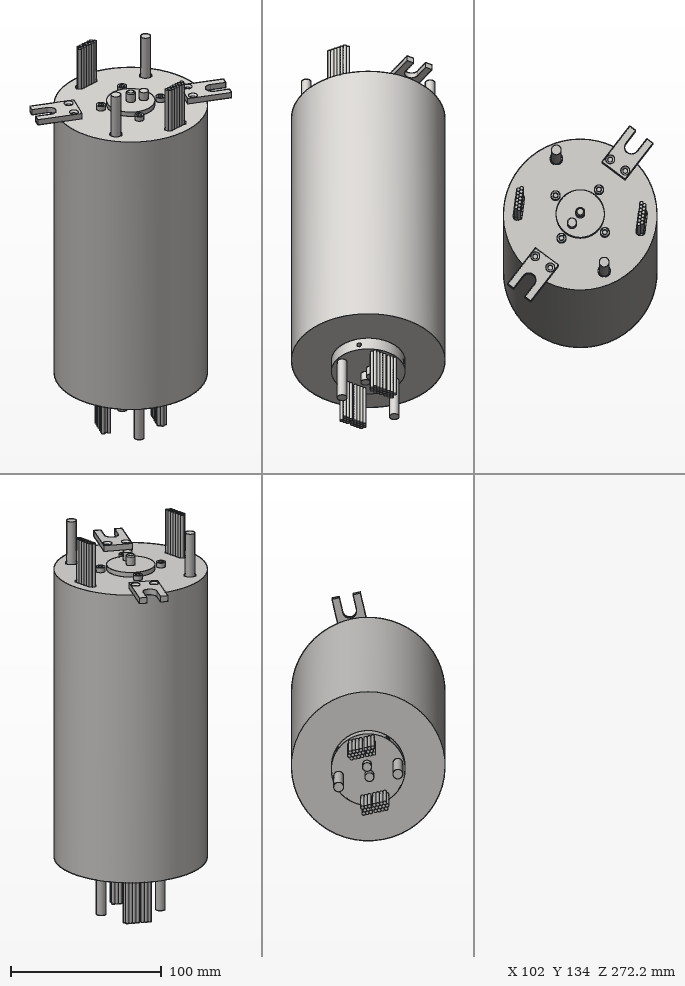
import cadquery as cq
import math

TOTAL_HEIGHT = 272.2
LEAD_LENGTH = 30.0
HUB_HEIGHT = 9.0
TOP = TOTAL_HEIGHT / 2 - LEAD_LENGTH
HUB_BOTTOM = -TOP
BODY_BOTTOM = HUB_BOTTOM + HUB_HEIGHT

BODY_RADIUS = 102.0 / 2
HUB_RADIUS = 24.5
CAP_RADIUS = 16.0
CAP_HEIGHT = 3.3

BRACKET_OUTER_END = 134.0 / 2
BRACKET_INNER_END = 36.5
BRACKET_WIDTH = 19.3
BRACKET_THICKNESS = 4.0
FORK_WIDTH = 9.3
FORK_DEPTH = 15.2
BRACKET_HOLE_X = 6.3
BRACKET_HOLE_Y = 41.0
COUNTERSINK_RADIUS = 3.0
COUNTERSINK_DEPTH = 1.4
COUNTERSINK_TAPER = 45

SCREW_CIRCLE_RADIUS = 20.55
SCREW_HEAD_RADIUS = 3.0
SCREW_HEAD_HEIGHT = 3.3
SOCKET_DIAMETER = 3.5
SOCKET_DEPTH = 1.5

PIPE_RADIUS = 3.0
CENTRE_PIPE_HEIGHT = 10.0
CENTRE_PIPE_CHAMFER = 0.8
SIDE_PIPE_HEIGHT = 9.3
SIDE_PIPE_Y = 9.0
LOWER_PIPE_LENGTH = 6.8
LOWER_PIPE_Y = 3.5

ROD_RADIUS = 3.3
ROD_HOLE_RADIUS = 4.0
UPPER_LEAD_CIRCLE_RADIUS = 41.0
UPPER_LEAD_ANGLE = 30
LOWER_ROD_X = 20.1
LOWER_BUNDLE_Y = 19.3
WIRE_DIAMETER = 2.31
WIRE_GAP = 0.05
WIRE_PITCH = WIRE_DIAMETER + WIRE_GAP
ROW_PITCH = WIRE_PITCH * math.sqrt(3) / 2
UPPER_ROWS = [6, 7]
LOWER_BUNDLES = [(-3.8, [4, 5, 4]), (5.5, [3, 2, 3])]
SLOT_LENGTH = 18.0
SLOT_WIDTH = 6.0
LEAD_HOLE_DEPTH = 2.7

SET_HOLE_RADIUS = 1.5
SET_HOLE_DEPTH = 4.0
SET_HOLE_DROP = 5.0


def cylinder(x, y, z_start, radius, length):
    """Upright cylinder that rises from z_start."""
    return cq.Workplane("XY", origin=(x, y, z_start)).circle(radius).extrude(length)


def wire_bundle(x, y, z_start, length, rows, angle):
    """Staggered rows of wires; angle turns the rows away from the X axis."""
    points = []
    for row, count in enumerate(rows):
        across = (row - (len(rows) - 1) / 2) * ROW_PITCH
        for i in range(count):
            points.append(((i - (count - 1) / 2) * WIRE_PITCH, across))
    wires = cq.Workplane("XY").pushPoints(points).circle(WIRE_DIAMETER / 2).extrude(length)
    return wires.rotate((0, 0, 0), (0, 0, 1), angle).translate((x, y, z_start))


def bracket():
    """Forked bracket on the +Y side with two flat-bottomed countersinks."""
    length = BRACKET_OUTER_END - BRACKET_INNER_END
    plate = (
        cq.Workplane("XY", origin=(0, BRACKET_INNER_END + length / 2, TOP))
        .rect(BRACKET_WIDTH, length)
        .extrude(BRACKET_THICKNESS)
    )
    fork_centre = BRACKET_OUTER_END - FORK_DEPTH + FORK_WIDTH / 2
    fork = cylinder(0, fork_centre, TOP, FORK_WIDTH / 2, BRACKET_THICKNESS).union(
        cq.Workplane("XY", origin=(0, (fork_centre + BRACKET_OUTER_END) / 2, TOP))
        .rect(FORK_WIDTH, BRACKET_OUTER_END - fork_centre)
        .extrude(BRACKET_THICKNESS)
    )
    countersinks = (
        cq.Workplane("XY", origin=(0, BRACKET_HOLE_Y, TOP + BRACKET_THICKNESS))
        .pushPoints([(-BRACKET_HOLE_X, 0), (BRACKET_HOLE_X, 0)])
        .circle(COUNTERSINK_RADIUS)
        .extrude(-COUNTERSINK_DEPTH, taper=COUNTERSINK_TAPER)
    )
    return plate.cut(fork).cut(countersinks)


def cap_screw(angle):
    """Socket head screw on the screw circle at the given angle."""
    head = cylinder(SCREW_CIRCLE_RADIUS, 0, TOP, SCREW_HEAD_RADIUS, SCREW_HEAD_HEIGHT)
    socket = (
        cq.Workplane("XY", origin=(SCREW_CIRCLE_RADIUS, 0, TOP + SCREW_HEAD_HEIGHT))
        .polygon(6, SOCKET_DIAMETER)
        .extrude(-SOCKET_DEPTH)
    )
    return head.cut(socket).rotate((0, 0, 0), (0, 0, 1), angle)


def build_stator():
    """Housing with its cap, brackets, screws, pipes and upper leads."""
    stator = cylinder(0, 0, BODY_BOTTOM, BODY_RADIUS, TOP - BODY_BOTTOM)
    stator = stator.union(cylinder(0, 0, TOP, CAP_RADIUS, CAP_HEIGHT))

    centre_pipe = cylinder(0, 0, TOP, PIPE_RADIUS, CENTRE_PIPE_HEIGHT)
    stator = stator.union(centre_pipe.faces(">Z").chamfer(CENTRE_PIPE_CHAMFER))
    stator = stator.union(cylinder(0, SIDE_PIPE_Y, TOP, PIPE_RADIUS, SIDE_PIPE_HEIGHT))

    for angle in (0, 90, 180, 270):
        stator = stator.union(cap_screw(angle))
    for angle in (0, 180):
        stator = stator.union(bracket().rotate((0, 0, 0), (0, 0, 1), angle))

    hole_floor = TOP - LEAD_HOLE_DEPTH
    lead_x = UPPER_LEAD_CIRCLE_RADIUS * math.cos(math.radians(UPPER_LEAD_ANGLE))
    lead_y = UPPER_LEAD_CIRCLE_RADIUS * math.sin(math.radians(UPPER_LEAD_ANGLE))
    length = LEAD_LENGTH + LEAD_HOLE_DEPTH
    slot = (
        cq.Workplane("XY", origin=(lead_x, lead_y, hole_floor))
        .transformed(rotate=(0, 0, UPPER_LEAD_ANGLE + 90))
        .slot2D(SLOT_LENGTH, SLOT_WIDTH)
        .extrude(LEAD_HOLE_DEPTH)
    )
    rod_hole = cylinder(-lead_x, lead_y, hole_floor, ROD_HOLE_RADIUS, LEAD_HOLE_DEPTH)
    rod = cylinder(-lead_x, lead_y, hole_floor, ROD_RADIUS, length)
    bundle = wire_bundle(lead_x, lead_y, hole_floor, length, UPPER_ROWS, UPPER_LEAD_ANGLE + 90)
    for angle in (0, 180):
        for hole in (slot, rod_hole):
            stator = stator.cut(hole.rotate((0, 0, 0), (0, 0, 1), angle))
        for lead in (rod, bundle):
            stator = stator.union(lead.rotate((0, 0, 0), (0, 0, 1), angle))
    return stator


def build_rotor():
    """Hub below the housing with its set screw holes, pipes and lower leads."""
    rotor = cylinder(0, 0, HUB_BOTTOM, HUB_RADIUS, HUB_HEIGHT)
    for angle in (45, 135, 225, 315):
        set_hole = (
            cq.Workplane("YZ", origin=(HUB_RADIUS - SET_HOLE_DEPTH, 0, BODY_BOTTOM - SET_HOLE_DROP))
            .circle(SET_HOLE_RADIUS)
            .extrude(2 * SET_HOLE_DEPTH)
        )
        rotor = rotor.cut(set_hole.rotate((0, 0, 0), (0, 0, 1), angle))
    for side in (-1, 1):
        rod = cylinder(side * LOWER_ROD_X, 0, HUB_BOTTOM, ROD_RADIUS, -LEAD_LENGTH)
        pipe = cylinder(0, side * LOWER_PIPE_Y, HUB_BOTTOM, PIPE_RADIUS, -LOWER_PIPE_LENGTH)
        rotor = rotor.union(rod).union(pipe)
    for x, rows in LOWER_BUNDLES:
        bundle = wire_bundle(x, -LOWER_BUNDLE_Y, HUB_BOTTOM, -LEAD_LENGTH, rows, 0)
        for angle in (0, 180):
            rotor = rotor.union(bundle.rotate((0, 0, 0), (0, 0, 1), angle))
    return rotor


stator = build_stator()
rotor = build_rotor()
result = cq.Compound.makeCompound([stator.val(), rotor.val()])